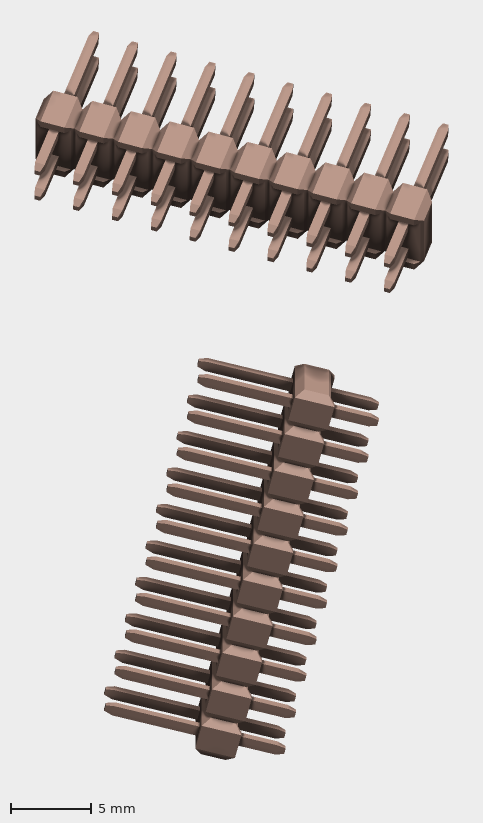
import cadquery as cq

columns = 10
rows = 2
pitch = 2.55

body_depth = 2.55
body_height = 5.03
body_chamfer = 0.48

channel_depth = 0.3
channel_height = 3.9

pin_width = 0.64
pin_front_length = 3.0
pin_back_length = 6.0
tip_length = 0.53
tip_width = 0.38

body_front = -body_depth / 2
pin_front = body_front - pin_front_length
pin_back = body_depth / 2 + pin_back_length
shank_length = pin_back - pin_front - 2 * tip_length


def centred(index, count):
    """Place of one item in an evenly pitched line centred on zero."""
    return (index - (count - 1) / 2) * pitch


def body_cell():
    """One housing cell, chamfered all round both of its X faces."""
    block = cq.Workplane("XY").box(pitch, body_depth, body_height)
    return block.faces("<X or >X").chamfer(body_chamfer)


def front_channel():
    """Cutter for the shallow channel along the front of the whole housing."""
    return cq.Workplane("XY").box(
        columns * pitch, channel_depth, channel_height
    ).translate((0, body_front + channel_depth / 2, 0))


def tapered_tip():
    """Square pin tip, with its base on the XZ plane and narrowing toward -Y."""
    return (
        cq.Workplane("XZ")
        .rect(pin_width, pin_width)
        .workplane(offset=tip_length)
        .rect(tip_width, tip_width)
        .loft(ruled=True)
    )


def pin():
    """Straight square pin along Y, tapered at both ends."""
    shank_centre = (pin_front + pin_back) / 2
    shank = cq.Workplane("XY").box(pin_width, shank_length, pin_width).translate((0, shank_centre, 0))
    front_tip = tapered_tip().translate((0, pin_front + tip_length, 0))
    back_tip = tapered_tip().mirror("XZ").translate((0, pin_back - tip_length, 0))
    return shank.union(front_tip).union(back_tip)


housing = body_cell().translate((centred(0, columns), 0, 0))
for column in range(1, columns):
    housing = housing.union(body_cell().translate((centred(column, columns), 0, 0)))
housing = housing.cut(front_channel())

result = housing
for column in range(columns):
    for row in range(rows):
        result = result.union(pin().translate((centred(column, columns), 0, centred(row, rows))))